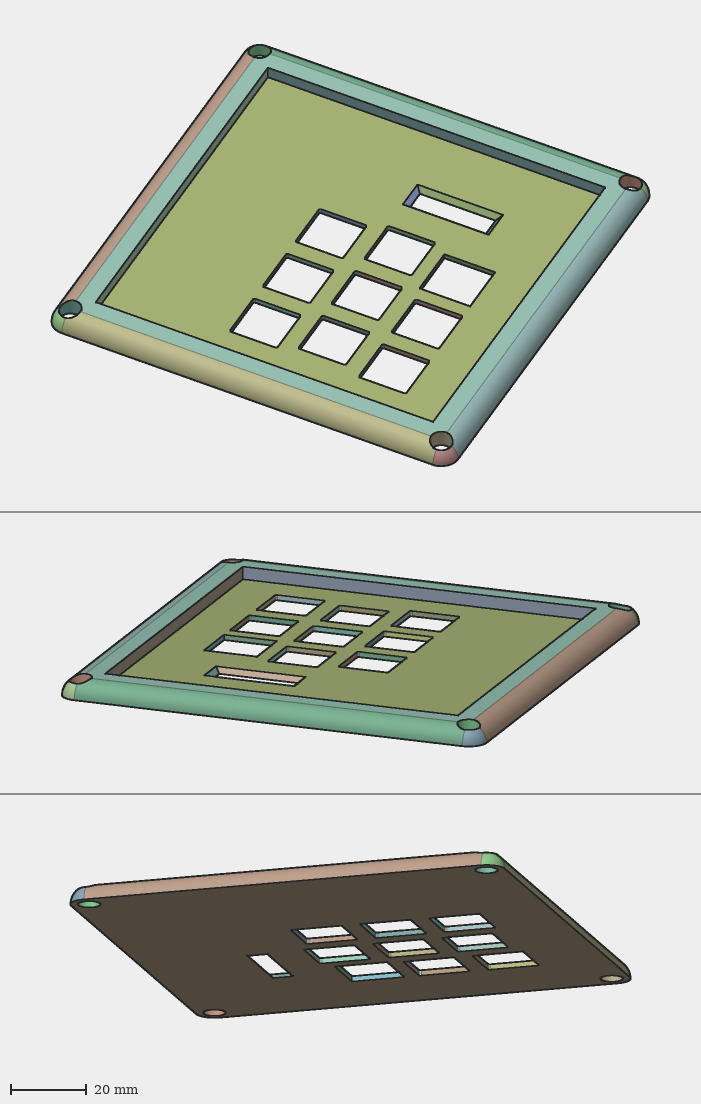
import cadquery as cq

plate_side = 120.0
plate_height = 5.0
rim_radius = plate_height
inner_side = plate_side - 2 * rim_radius

pocket_side = 100.0
floor_thickness = 1.5

screw_diameter = 6.0
screw_spacing = inner_side

key_size = 14.05
key_corner_radius = 0.5
key_pitch = 19.1
first_key_center = (-8.15, -33.5)
key_rows = 3
column_shifts_y = (0.0, 2.45, 0.0)

large_key_width = 15.0
large_key_height = 14.5
large_key_center = (29.6, 4.05)

window_length = 22.4
window_width = 5.5
window_flare = 1.5
window_center = (16.4, 27.4)


def make_plate():
    """Plate whose side faces are quarter rounds and whose corners are ball octants."""
    half_inner = inner_side / 2
    edge = (
        cq.Workplane("XZ", origin=(half_inner, half_inner, 0))
        .lineTo(rim_radius, 0)
        .radiusArc((0, plate_height), -rim_radius)
        .close()
        .extrude(inner_side)
    )
    corner = (
        cq.Workplane("XY")
        .sphere(rim_radius, angle1=0, angle2=90, angle3=90)
        .translate((half_inner, half_inner, 0))
    )
    plate = cq.Workplane("XY").rect(inner_side, inner_side).extrude(plate_height)
    for quarter_turn in range(4):
        angle = 90 * quarter_turn
        for piece in (edge, corner):
            plate = plate.union(piece.rotate((0, 0, 0), (0, 0, 1), angle))
    return plate


def make_pocket():
    return (
        cq.Workplane("XY")
        .workplane(offset=floor_thickness)
        .rect(pocket_side, pocket_side)
        .extrude(plate_height - floor_thickness)
    )


def make_screw_holes():
    return (
        cq.Workplane("XY")
        .rect(screw_spacing, screw_spacing, forConstruction=True)
        .vertices()
        .circle(screw_diameter / 2)
        .extrude(plate_height)
    )


def make_key_openings():
    """All regular key openings, leaving out the place of the larger key."""
    first_x, first_y = first_key_center
    large_key_place = (len(column_shifts_y) - 1, key_rows - 1)
    centers = [
        (first_x + column * key_pitch, first_y + row * key_pitch + shift_y)
        for column, shift_y in enumerate(column_shifts_y)
        for row in range(key_rows)
        if (column, row) != large_key_place
    ]
    return (
        cq.Workplane("XY")
        .pushPoints(centers)
        .rect(key_size, key_size)
        .extrude(floor_thickness)
        .edges("|Z")
        .fillet(key_corner_radius)
    )


def make_large_key_opening():
    return (
        cq.Workplane("XY")
        .center(*large_key_center)
        .rect(large_key_width, large_key_height)
        .extrude(floor_thickness)
    )


def make_window():
    return (
        cq.Workplane("XY")
        .center(*window_center)
        .rect(window_length, window_width)
        .workplane(offset=floor_thickness)
        .rect(window_length + 2 * window_flare, window_width + 2 * window_flare)
        .loft(ruled=True)
    )


result = make_plate().cut(make_pocket())
result = result.cut(make_screw_holes())
result = result.cut(make_key_openings())
result = result.cut(make_large_key_opening())
result = result.cut(make_window())